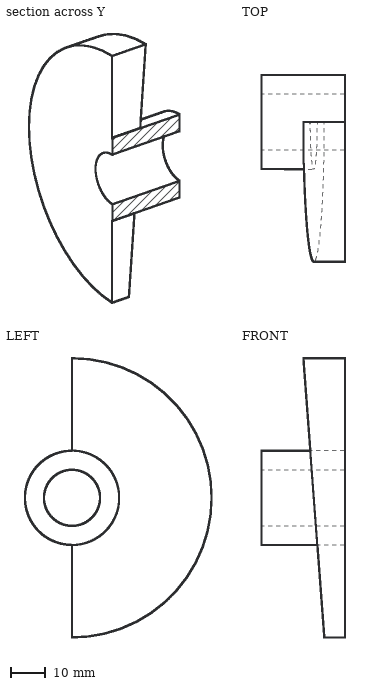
import cadquery as cq

disc_radius = 40.0
thick_end = 12.0
thin_end = 6.0

hub_diameter = 27.0
hub_length = 24.0
bore_diameter = 16.0


def wedge_half_disc():
    """Half disc on the -Y side, flat at X = 0 and tapering from top to bottom."""
    half_disc = (
        cq.Workplane("YZ")
        .moveTo(0, disc_radius)
        .threePointArc((-disc_radius, 0), (0, -disc_radius))
        .close()
        .extrude(-thick_end)
    )
    taper = (
        cq.Workplane("XZ")
        .polyline([
            (0, disc_radius),
            (-thick_end, disc_radius),
            (-thin_end, -disc_radius),
            (0, -disc_radius),
        ])
        .close()
        .extrude(disc_radius)
    )
    return half_disc.intersect(taper)


def axial_cylinder(diameter):
    """Cylinder along X with the full length of the hub."""
    return cq.Workplane("YZ").circle(diameter / 2).extrude(-hub_length)


result = wedge_half_disc().union(axial_cylinder(hub_diameter)).cut(axial_cylinder(bore_diameter))